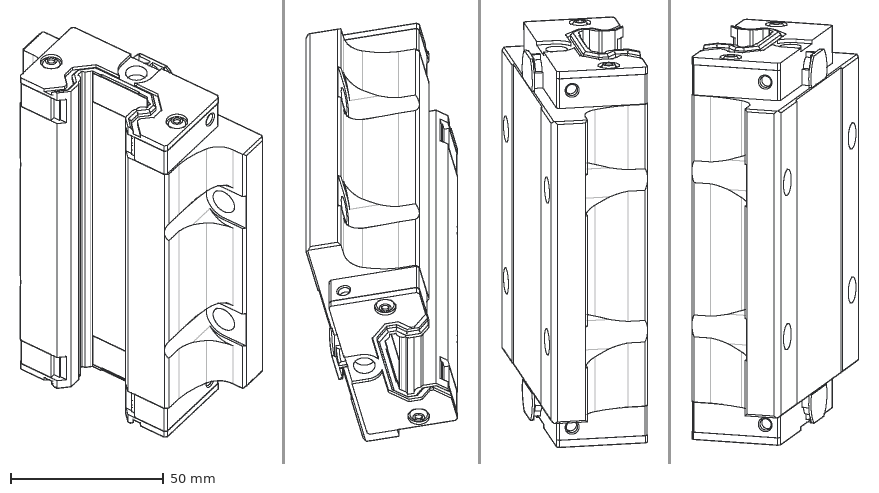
import cadquery as cq
import math


length = 130.5
width = 90.0
height = 35.0

carriage_half_length = 51.7
body_half_width = 30.0
flange_bottom = 23.0
flange_edge_chamfer = 0.9
top_chamfer = 1.8
end_chamfer = 0.8
body_chamfer = 1.0
fillet_outer = (40.2, flange_bottom)
fillet_middle = (32.9, 18.3)
fillet_inner = (body_half_width, 6.8)
top_relief_half_width = 25.2
top_relief_depth = 0.4

hole_diameter = 8.6
hole_x = 36.0
hole_z = 26.0
seat_radius = 7.0
seat_height = 23.8
flare_half_width = 8.9
flare_end_x = 37.0
flare_middle = (34.2, 7.8)

cap_half_width = 29.6
cap_height = 30.4
cap_chamfer = 0.8
cap_body_inset = 0.1
seal_joint = 61.9
cap_face = 64.3
lip_face = length / 2
lip_taper = 0.8
groove_depth = 1.2
floor_relief_half_width = 7.6
floor_relief_depth = 0.4
cap_floor_clearance = 0.1

port_center = (0.0, 24.9)
port_diameter = 7.0
port_depth = 3.9
port_pad_radius = 6.1
screw_center = (25.3, 12.3)
screw_seat_diameter = 7.0
screw_seat_depth = 1.2
screw_head_diameter = 5.7
screw_flat_diameter = 3.8
screw_head_top = 64.7
screw_socket_diameter = 2.5
screw_socket_depth = 0.8
side_hole_y = 25.3
side_hole_z = 57.7
side_hole_diameter = 3.8
side_hole_mouth = 5.0
side_hole_depth = 2.6
foot_recess_outer = 16.8
foot_recess_inner = 14.5
foot_recess_height = 1.8
foot_recess_step = 0.4

plug_z = 56.9
plug_half_width = 5.0
plug_hub_radius = 3.3
plug_hub_flare = 0.8
plug_web_thickness = 1.0
plug_head_bottom = 33.4
plug_flange_bottom = 33.9
plug_top = 34.7
plug_flange_radius = 8.9
plug_flange_z = 54.8

channel_foot = [(14.2, 0.0), (11.0, 3.3), (11.0, 7.7), (11.6, 8.5)]
raceway_middle = (12.1, 10.3)
raceway_end = (13.8, 11.2)
channel_head = [(13.8, 13.5), (12.7, 13.7), (11.5, 15.0), (11.0, 15.5)]
channel_top = channel_head[-1][1]
lip_half = [(16.5, 0.0), (12.9, 3.7), (12.9, 7.7), (15.8, 10.6), (15.8, 13.8), (11.5, 18.1)]
groove_half = [(19.5, 0.0), (14.6, 4.8), (14.6, 6.1), (18.0, 9.5), (18.0, 14.0), (12.4, 19.6)]


def box(x_range, y_range, z_range):
    """Axis-aligned block between the given limits."""
    low, high = zip(x_range, y_range, z_range)
    size = [b - a for a, b in zip(low, high)]
    return cq.Workplane("XY").box(*size, centered=False).translate(low)


def both_sides(shape):
    """The shape together with its mirror image across the YZ plane."""
    return shape.union(shape.mirror("YZ"))


def rail_channel(z_start, z_end):
    """Space for the rail, open at the bottom."""
    half = (
        cq.Workplane("XY", origin=(0, 0, z_start))
        .moveTo(0, 0)
        .polyline(channel_foot, includeCurrent=True)
        .threePointArc(raceway_middle, raceway_end)
        .polyline(channel_head, includeCurrent=True)
        .lineTo(0, channel_top)
        .close()
        .extrude(z_end - z_start)
    )
    return both_sides(half)


def mirrored_outline(half_points, z_start):
    """Closed outline made of the half points and their mirror images."""
    other_half = [(-x, y) for x, y in reversed(half_points)]
    return cq.Workplane("XY", origin=(0, 0, z_start)).polyline(half_points + other_half).close()


def mounting_hole_cuts():
    """Flared clearance, flat seat and through hole at each of the four flange holes."""
    tangent = seat_radius * math.sqrt(0.5)
    half_flange = width / 2
    flare_start = (hole_x - tangent, tangent)
    flare = (
        cq.Workplane("XZ")
        .moveTo(flare_start[0], -flare_start[1])
        .threePointArc((flare_middle[0], -flare_middle[1]), (flare_end_x, -flare_half_width))
        .lineTo(half_flange, -flare_half_width)
        .lineTo(half_flange, flare_half_width)
        .lineTo(flare_end_x, flare_half_width)
        .threePointArc(flare_middle, flare_start)
        .close()
        .extrude(-flange_bottom)
    )
    seat = (
        cq.Workplane("XZ").center(hole_x, 0).circle(seat_radius).extrude(-seat_height)
        .union(box((hole_x, half_flange), (0, seat_height), (-seat_radius, seat_radius)))
    )
    hole = cq.Workplane("XZ").center(hole_x, 0).circle(hole_diameter / 2).extrude(-height)
    cut = both_sides(flare.union(seat).union(hole))
    return cut.translate((0, 0, hole_z)).union(cut.translate((0, 0, -hole_z)))


def make_carriage():
    """Flanged steel body with its rail channel and mounting holes."""
    half_flange = width / 2
    half = (
        cq.Workplane("XY", origin=(0, 0, -carriage_half_length))
        .moveTo(0, height - top_relief_depth)
        .lineTo(top_relief_half_width, height - top_relief_depth)
        .lineTo(top_relief_half_width, height)
        .lineTo(half_flange - top_chamfer, height)
        .lineTo(half_flange, height - top_chamfer)
        .lineTo(half_flange, flange_bottom + flange_edge_chamfer)
        .lineTo(half_flange - flange_edge_chamfer, flange_bottom)
        .lineTo(*fillet_outer)
        .tangentArcPoint(fillet_middle, relative=False)
        .tangentArcPoint(fillet_inner, relative=False)
        .lineTo(body_half_width, body_chamfer)
        .lineTo(body_half_width - body_chamfer, 0)
        .lineTo(0, 0)
        .close()
        .extrude(2 * carriage_half_length)
    )
    envelope = (
        box(
            (-half_flange, half_flange),
            (-height, height),
            (-carriage_half_length, carriage_half_length),
        )
        .edges(">Z or <Z")
        .edges(">X or <X or >Y")
        .chamfer(end_chamfer)
    )
    channel = rail_channel(-carriage_half_length, carriage_half_length)
    return both_sides(half).intersect(envelope).cut(channel).cut(mounting_hole_cuts())


def add_seal_lip(cap):
    """Groove around the rail channel and the tapered lip that stands inside it."""
    port_pad = (
        cq.Workplane("XY", origin=(0, 0, cap_face - groove_depth))
        .center(*port_center)
        .circle(port_pad_radius)
        .extrude(groove_depth)
        .union(
            box(
                (-port_pad_radius, port_pad_radius),
                (port_center[1], cap_height),
                (cap_face - groove_depth, cap_face),
            )
        )
    )
    groove = mirrored_outline(groove_half, cap_face - groove_depth).extrude(groove_depth)
    lip_base = mirrored_outline(lip_half, cap_face - groove_depth).extrude(groove_depth)
    lip_height = lip_face - cap_face
    taper = math.degrees(math.atan(lip_taper / lip_height))
    foot_x = lip_half[0][0]
    below = [(foot_x, -lip_taper * 2)] + lip_half
    lip_tip = mirrored_outline(below, cap_face).extrude(lip_height, taper=taper)
    lip_tip = lip_tip.intersect(box((-width, width), (0, height), (cap_face, lip_face)))
    return cap.cut(port_pad.union(groove)).union(lip_base).union(lip_tip)


def add_screws(cap):
    """Conical screw heads that stand in round seats."""
    seat_floor = cap_face - screw_seat_depth
    head_radius = screw_head_diameter / 2
    flat_radius = screw_flat_diameter / 2
    head_shape = (
        cq.Workplane("XZ")
        .moveTo(0, seat_floor)
        .lineTo(head_radius, seat_floor)
        .lineTo(flat_radius, screw_head_top)
        .lineTo(0, screw_head_top)
        .close()
        .revolve(360, (0, 0, 0), (0, 1, 0))
    )
    socket = (
        cq.Workplane("XY", origin=(0, 0, screw_head_top - screw_socket_depth))
        .circle(screw_socket_diameter / 2)
        .extrude(screw_socket_depth)
    )
    seat = (
        cq.Workplane("XY", origin=(0, 0, seat_floor))
        .circle(screw_seat_diameter / 2)
        .extrude(screw_seat_depth)
    )
    place = (*screw_center, 0)
    head = head_shape.cut(socket).translate(place)
    return cap.cut(both_sides(seat.translate(place))).union(both_sides(head))


def cap_hole_cuts():
    """Lubrication port in the end face and countersunk holes in both sides."""
    port = (
        cq.Workplane("XY", origin=(0, 0, cap_face - groove_depth - port_depth))
        .center(*port_center)
        .circle(port_diameter / 2)
        .extrude(port_depth)
    )
    hole_radius = side_hole_diameter / 2
    mouth_radius = side_hole_mouth / 2
    countersink_depth = mouth_radius - hole_radius
    side_hole = (
        cq.Workplane("XY")
        .moveTo(cap_half_width, 0)
        .lineTo(cap_half_width, mouth_radius)
        .lineTo(cap_half_width - countersink_depth, hole_radius)
        .lineTo(cap_half_width - side_hole_depth, hole_radius)
        .lineTo(cap_half_width - side_hole_depth, 0)
        .close()
        .revolve(360, (0, 0, 0), (1, 0, 0))
        .translate((0, side_hole_y, side_hole_z))
    )
    return port.union(both_sides(side_hole))


def foot_recess_cuts():
    """Stepped recess under the cap feet, between the carriage and the seal plate."""
    z_range = (carriage_half_length, seal_joint)
    outer = box((0, foot_recess_outer), (0, foot_recess_height), z_range)
    inner = box((0, foot_recess_inner), (0, foot_recess_height + foot_recess_step), z_range)
    return both_sides(outer.union(inner))


def make_plug():
    """Flanged plug on top of the cap: block, hub and web below a flat head."""
    z_range = (carriage_half_length, seal_joint)
    block = box(
        (-plug_half_width, plug_half_width), (cap_height, plug_head_bottom), (carriage_half_length, plug_z)
    )
    flare_radius = plug_hub_radius + plug_hub_flare
    hub = (
        cq.Workplane("XY")
        .moveTo(0, cap_height)
        .lineTo(plug_hub_radius, cap_height)
        .lineTo(plug_hub_radius, plug_head_bottom - plug_hub_flare)
        .lineTo(flare_radius, plug_head_bottom)
        .lineTo(0, plug_head_bottom)
        .close()
        .revolve(360, (0, 0, 0), (0, 1, 0))
        .translate((0, 0, plug_z))
    )
    half_web = plug_web_thickness / 2
    web = box((-half_web, half_web), (cap_height, plug_head_bottom), z_range)
    head = box((-plug_half_width, plug_half_width), (plug_head_bottom, plug_flange_bottom), z_range)
    disc = (
        cq.Workplane("XZ", origin=(0, plug_flange_bottom, plug_flange_z))
        .circle(plug_flange_radius)
        .extrude(plug_flange_bottom - plug_top)
    )
    flange = disc.intersect(box((-width, width), (0, height), z_range))
    return block.union(hub).union(web).union(head).union(flange)


def cap_block(inset, z_start, z_end):
    """Chamfered block with its sides and bottom set in from the full cap outline."""
    half_width = cap_half_width - inset
    block = box((-half_width, half_width), (inset, cap_height), (z_start, z_end))
    return block.edges("|Z").chamfer(cap_chamfer)


def floor_cuts():
    """Clearance above the rail inside the cap and a wider relief in the middle of the lip."""
    half_top = channel_head[-1][0]
    clearance = box(
        (-half_top, half_top),
        (channel_top - cap_floor_clearance, channel_top + cap_floor_clearance),
        (carriage_half_length, cap_face),
    )
    relief = box(
        (-floor_relief_half_width, floor_relief_half_width),
        (channel_top - floor_relief_depth, channel_top + floor_relief_depth),
        (cap_face, lip_face),
    )
    return clearance.union(relief)


def make_end_cap():
    """Plastic end cap with seal lip, screws, ports and plug at the +Z end."""
    body = cap_block(cap_body_inset, carriage_half_length, seal_joint)
    cap = body.union(cap_block(0, seal_joint, cap_face))
    cap = add_seal_lip(cap)
    cap = add_screws(cap)
    cap = cap.cut(cap_hole_cuts())
    cap = cap.cut(rail_channel(carriage_half_length, lip_face))
    cap = cap.cut(floor_cuts()).cut(foot_recess_cuts())
    return cap.union(make_plug())


end_cap = make_end_cap()
result = make_carriage().union(end_cap).union(end_cap.mirror("XY"))